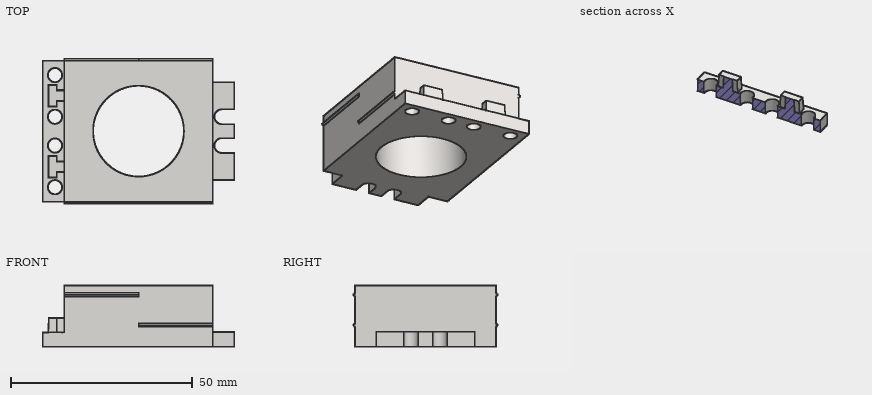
import cadquery as cq

length = 53.0
block_length = 41.15
block_width = 39.0
height = 17.0
bore_diameter = 25.0
overlap = 0.55

flange_height = 4.05
hole_diameter = 3.85
hole_x = -length / 2 + 3.45
inner_hole_y = 4.0
outer_hole_y = 15.5

tab_width = 27.1
tab_height = 4.2
slot_width = 4.05
slot_y = 4.0
slot_depth = 5.5

key_y = 9.8
key_height = 4.05
key_front_x = -length / 2 + 1.55
key_neck_x = -length / 2 + 3.85
head_width = 6.15
stem_width = 3.15
key_draft = 0.185

ridge_projection = 0.505
ridge_height = 1.0
ridge_length = block_length / 2
high_ridge_z = 14.4
low_ridge_z = 6.05


def box(x_start, x_end, width, box_height):
    """Box centred in Y, standing on Z = 0."""
    return (
        cq.Workplane("XY")
        .box(x_end - x_start, width, box_height, centered=(False, True, False))
        .translate((x_start, 0, 0))
    )


def drilled_flange():
    flange = box(-length / 2, -block_length / 2 + overlap, block_width, flange_height)
    hole_positions = [
        (hole_x, side * distance)
        for side in (-1, 1)
        for distance in (inner_hole_y, outer_hole_y)
    ]
    holes = (
        cq.Workplane("XY")
        .pushPoints(hole_positions)
        .circle(hole_diameter / 2)
        .extrude(flange_height)
    )
    return flange.cut(holes)


def slotted_tab():
    tab = box(block_length / 2 - overlap, length / 2, tab_width, tab_height)
    slots = (
        cq.Workplane("XY")
        .pushPoints([(length / 2, -slot_y), (length / 2, slot_y)])
        .slot2D(2 * slot_depth, slot_width)
        .extrude(tab_height)
    )
    return tab.cut(slots)


def key_outline(inset):
    """T outline with its front and side faces moved inward; the neck face stays put."""
    front_x = key_front_x + inset
    back_x = -block_length / 2 + overlap
    head_y = head_width / 2 - inset
    stem_y = stem_width / 2 - inset
    return [
        (front_x, -head_y),
        (key_neck_x, -head_y),
        (key_neck_x, -stem_y),
        (back_x, -stem_y),
        (back_x, stem_y),
        (key_neck_x, stem_y),
        (key_neck_x, head_y),
        (front_x, head_y),
    ]


def key(center_y):
    return (
        cq.Workplane("XY", origin=(0, center_y, flange_height))
        .polyline(key_outline(0))
        .close()
        .workplane(offset=key_height)
        .polyline(key_outline(key_draft))
        .close()
        .loft(ruled=True)
    )


def ridge(x_start, center_z):
    """Half-length ridge on the -Y side."""
    root_y = -block_width / 2
    return (
        cq.Workplane("YZ", origin=(x_start, 0, 0))
        .polyline([
            (root_y + overlap, center_z - ridge_height / 2),
            (root_y, center_z - ridge_height / 2),
            (root_y - ridge_projection, center_z),
            (root_y, center_z + ridge_height / 2),
            (root_y + overlap, center_z + ridge_height / 2),
        ])
        .close()
        .extrude(ridge_length)
    )


body = box(-block_length / 2, block_length / 2, block_width, height)
body = body.union(drilled_flange()).union(slotted_tab())

for side in (-1, 1):
    body = body.union(key(side * key_y))

for ridge_x, ridge_z in ((-ridge_length, high_ridge_z), (0, low_ridge_z)):
    front_ridge = ridge(ridge_x, ridge_z)
    back_ridge = front_ridge.rotate((0, 0, 0), (0, 0, 1), 180)
    body = body.union(front_ridge).union(back_ridge)

bore = cq.Workplane("XY").circle(bore_diameter / 2).extrude(height)
result = body.cut(bore)